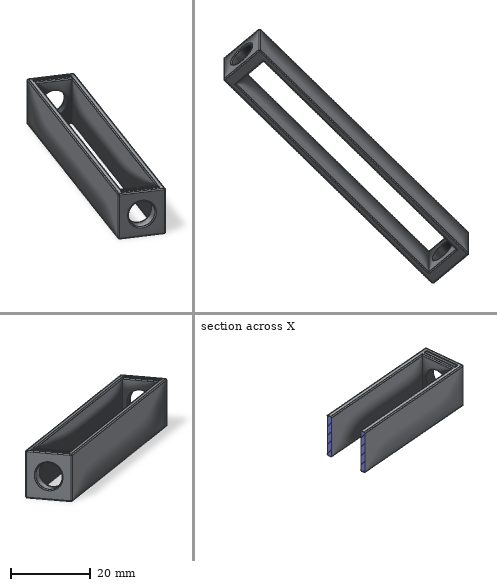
import cadquery as cq

length = 78.12
width = 12.5
height = 12.5
edge_chamfer = 0.3

end_wall = 3.16
side_wall = 1.55
rim_chamfer = 0.3
cavity_length = length - 2 * end_wall
cavity_width = width - 2 * side_wall

bore_diameter = 7.0

slot_width = 1.0
slot_length = cavity_width + 2 * rim_chamfer
slot_depth = 0.25
slot_center_x = (length - end_wall) / 2


def make_bar():
    """Rectangular bar with every outer edge chamfered."""
    return cq.Workplane("XY").box(length, width, height).edges().chamfer(edge_chamfer)


def make_cavity():
    """Rectangular opening through the full height, flared by a chamfer at both rims."""
    opening = cq.Workplane("XY").box(cavity_length, cavity_width, height)
    flare_length = cavity_length + 2 * rim_chamfer
    flare_width = cavity_width + 2 * rim_chamfer
    top_rim = (
        cq.Workplane("XY", origin=(0, 0, height / 2 - rim_chamfer))
        .rect(cavity_length, cavity_width)
        .workplane(offset=rim_chamfer)
        .rect(flare_length, flare_width)
        .loft(ruled=True)
    )
    bottom_rim = top_rim.mirror("XY")
    return opening.union(top_rim).union(bottom_rim)


def make_bore():
    """Bore along the length, widened by a chamfer at both outer ends."""
    bore_radius = bore_diameter / 2
    mouth_radius = bore_radius + edge_chamfer
    half_length = length / 2
    half_profile = (
        cq.Workplane("XY")
        .moveTo(0, 0)
        .lineTo(0, bore_radius)
        .lineTo(half_length - edge_chamfer, bore_radius)
        .lineTo(half_length, mouth_radius)
        .lineTo(half_length, 0)
        .close()
    )
    half_bore = half_profile.revolve(360, (0, 0, 0), (1, 0, 0))
    return half_bore.union(half_bore.mirror("YZ"))


def make_end_slots():
    """Shallow slots across the top of the two end walls."""
    return (
        cq.Workplane("XY", origin=(0, 0, height / 2 - slot_depth))
        .pushPoints([(-slot_center_x, 0), (slot_center_x, 0)])
        .rect(slot_width, slot_length)
        .extrude(slot_depth)
    )


result = make_bar().cut(make_cavity()).cut(make_bore()).cut(make_end_slots())